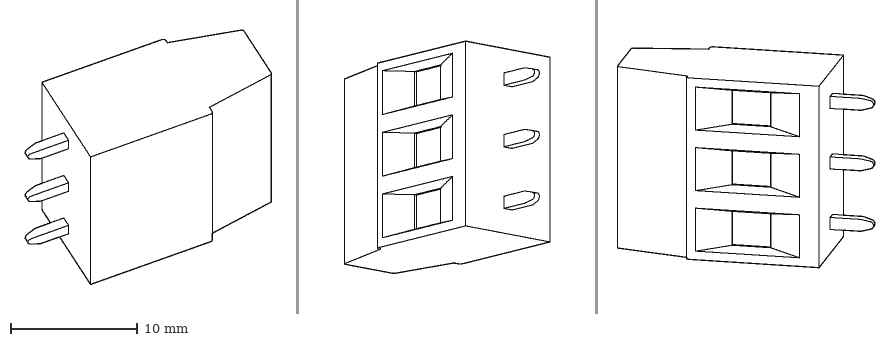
import cadquery as cq
import math


total_length = 20.3
body_width = 8.9
body_height = 15.0
pin_length = 3.5
body_length = total_length - pin_length

pole_count = 3
pole_pitch = body_height / pole_count

shoulder_y = 10.8
shoulder_round = 0.26
head_base_left = 3.95
head_base_right = 3.74
head_tip_left = 2.6
head_tip_right = 2.68
head_round = 0.2

entry_start_y = 1.58
entry_mouth_length = 8.42
entry_mouth_height = 3.55
throat_start_y = 4.16
throat_length = 3.13
throat_height = 2.8
funnel_depth = 1.0
throat_depth = 0.2

pin_width = 0.87
pin_height = 1.0
pin_taper_length = 1.0
pin_tip_width = 0.5
pin_tip_height = 0.5
pin_embed = 0.4

pole_heights = [(i - (pole_count - 1) / 2) * pole_pitch for i in range(pole_count)]


def make_body():
    """Extrude the stepped housing outline over all poles, with rounded outer corners."""
    half_width = body_width / 2
    outline = [
        (-half_width, 0),
        (half_width, 0),
        (half_width, shoulder_y),
        (head_base_right, shoulder_y),
        (head_tip_right, body_length),
        (-head_tip_left, body_length),
        (-head_base_left, shoulder_y),
        (-half_width, shoulder_y),
    ]
    body = cq.Workplane("XY").workplane(offset=-body_height / 2).polyline(outline).close().extrude(body_height)
    shoulder_corners = [(-half_width, shoulder_y, 0), (half_width, shoulder_y, 0)]
    head_corners = [(-head_tip_left, body_length, 0), (head_tip_right, body_length, 0)]
    for corners, radius in ((shoulder_corners, shoulder_round), (head_corners, head_round)):
        for corner in corners:
            body = body.edges(cq.NearestToPointSelector(corner)).fillet(radius)
    return body


def make_entry(z):
    """Funnel narrowing from the -X face into a short straight throat."""
    mouth_center_y = entry_start_y + entry_mouth_length / 2
    throat_center_y = throat_start_y + throat_length / 2
    face = cq.Workplane("YZ", origin=(-body_width / 2, mouth_center_y, z))
    funnel = (
        face.rect(entry_mouth_length, entry_mouth_height)
        .workplane(offset=funnel_depth)
        .center(throat_center_y - mouth_center_y, 0)
        .rect(throat_length, throat_height)
        .loft(ruled=True)
    )
    throat = (
        cq.Workplane("YZ", origin=(funnel_depth - body_width / 2, throat_center_y, z))
        .rect(throat_length, throat_height)
        .extrude(throat_depth)
    )
    return funnel.union(throat)


def make_pin(z):
    """Rectangular pin tapered on four sides, its end fully rounded about X."""
    taper_start_y = pin_taper_length - pin_length
    half_width = pin_width / 2
    half_tip_width = pin_tip_width / 2
    half_height = pin_height / 2
    half_tip_height = pin_tip_height / 2

    plan = (
        cq.Workplane("XY", origin=(0, 0, z - half_height))
        .moveTo(-half_width, pin_embed)
        .lineTo(-half_width, taper_start_y)
        .lineTo(-half_tip_width, -pin_length)
        .lineTo(half_tip_width, -pin_length)
        .lineTo(half_width, taper_start_y)
        .lineTo(half_width, pin_embed)
        .close()
        .extrude(pin_height)
    )

    slope = math.atan2(half_height - half_tip_height, pin_taper_length)
    arc_start_y = -pin_length + half_tip_height * math.cos(slope)
    arc_half_height = half_tip_height * (1 + math.sin(slope))
    profile = (
        cq.Workplane("YZ", origin=(-half_width, 0, z))
        .moveTo(pin_embed, half_height)
        .lineTo(taper_start_y, half_height)
        .lineTo(arc_start_y, arc_half_height)
        .threePointArc((-pin_length, 0), (arc_start_y, -arc_half_height))
        .lineTo(taper_start_y, -half_height)
        .lineTo(pin_embed, -half_height)
        .close()
        .extrude(pin_width)
    )
    return plan.intersect(profile)


result = make_body()
for pole_z in pole_heights:
    result = result.cut(make_entry(pole_z))
    result = result.union(make_pin(pole_z))